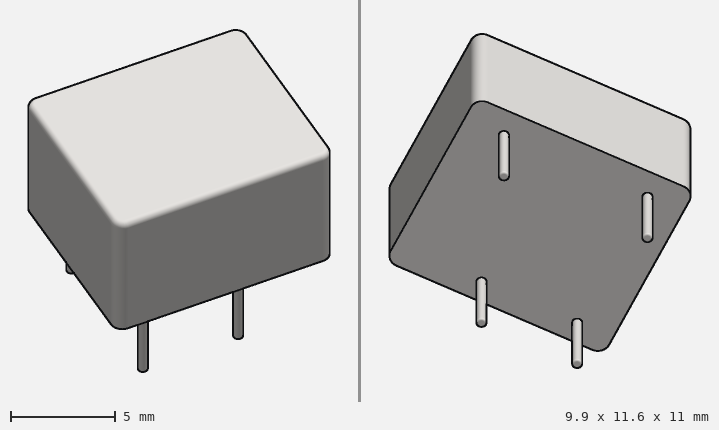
import cadquery as cq

case_width = 9.9
case_depth = 11.6
case_height = 6.9
corner_radius = 0.6
top_edge_radius = 0.29

pin_diameter = 0.5
pin_length = 4.1
pin_tip_radius = 0.1
pin_pitch = 2.54
row_spacing = 3 * pin_pitch
left_row_x = -3.67
right_row_x = left_row_x + row_spacing
front_pin_y = -3.91

pin_positions = [
    (left_row_x, front_pin_y),
    (left_row_x, front_pin_y + 3 * pin_pitch),
    (right_row_x, front_pin_y),
    (right_row_x, front_pin_y + 2 * pin_pitch),
]


def make_case():
    """Block with rounded upright corners and a rounded top rim."""
    block = cq.Workplane("XY").box(
        case_width, case_depth, case_height, centered=(True, True, False)
    )
    return block.edges("|Z").fillet(corner_radius).faces(">Z").edges().fillet(top_edge_radius)


def make_pin(x, y):
    """Pin hanging from the underside of the case, with a rounded tip."""
    pin = cq.Workplane("XY").center(x, y).circle(pin_diameter / 2).extrude(-pin_length)
    return pin.faces("<Z").edges().fillet(pin_tip_radius)


result = make_case()
for pin_x, pin_y in pin_positions:
    result = result.union(make_pin(pin_x, pin_y))